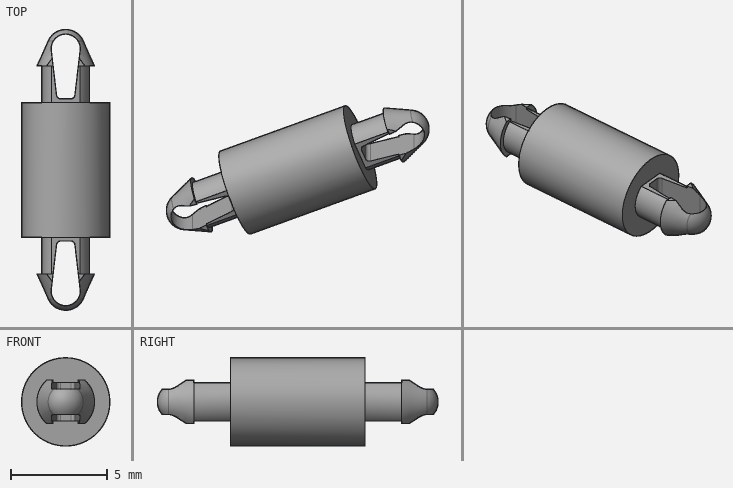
import cadquery as cq
import math

body_diameter = 4.6
body_length = 7.0

shank_diameter = 2.5
shank_length = 1.9
shank_thickness = 2.0

head_base_radius = 1.5
head_length = 1.9
head_thickness = 2.25
nose_radius = 1.0

slot_round_radius = 0.75
slot_end_half_width = 0.45
slot_end_gap = 0.2
slot_corner_radius = 0.2

body_end = body_length / 2
head_base = body_end + shank_length
tip = head_base + head_length
nose_center = tip - nose_radius
slot_end = body_end + slot_end_gap


def tangent_point(radius, x, y):
    """Upper point where the line from (x, y) touches a circle centred at (0, nose_center)."""
    offset = y - nose_center
    angle = math.atan2(offset, x) + math.acos(radius / math.hypot(x, offset))
    return radius * math.cos(angle), nose_center + radius * math.sin(angle)


def flat_slab(thickness):
    """Slab centred on Z that covers a whole post and trims its two flats."""
    return (
        cq.Workplane("XY")
        .box(body_diameter, tip - body_end, thickness)
        .translate((0, (body_end + tip) / 2, 0))
    )


def make_body():
    return (
        cq.Workplane("XZ", origin=(0, body_end, 0))
        .circle(body_diameter / 2)
        .extrude(body_length)
    )


def make_shank():
    shank = (
        cq.Workplane("XZ", origin=(0, body_end, 0))
        .circle(shank_diameter / 2)
        .extrude(-shank_length)
    )
    return shank.intersect(flat_slab(shank_thickness))


def make_head():
    cone_end = tangent_point(nose_radius, head_base_radius, head_base)
    mid_angle = (math.atan2(cone_end[1] - nose_center, cone_end[0]) + math.pi / 2) / 2
    nose_mid = (
        nose_radius * math.cos(mid_angle),
        nose_center + nose_radius * math.sin(mid_angle),
    )
    head = (
        cq.Workplane("XY")
        .moveTo(0, head_base)
        .lineTo(head_base_radius, head_base)
        .lineTo(*cone_end)
        .threePointArc(nose_mid, (0, tip))
        .close()
        .revolve(360, (0, 0, 0), (0, 1, 0))
    )
    return head.intersect(flat_slab(head_thickness))


def make_slot():
    side_x, side_y = tangent_point(slot_round_radius, slot_end_half_width, slot_end)
    return (
        cq.Workplane("XY")
        .moveTo(-slot_end_half_width, slot_end)
        .lineTo(slot_end_half_width, slot_end)
        .lineTo(side_x, side_y)
        .threePointArc((0, nose_center + slot_round_radius), (-side_x, side_y))
        .close()
        .extrude(body_diameter / 2, both=True)
        .edges("|Z")
        .edges("<Y")
        .fillet(slot_corner_radius)
    )


def make_post():
    return make_shank().union(make_head()).cut(make_slot())


post = make_post()
result = make_body().union(post).union(post.mirror("XZ"))